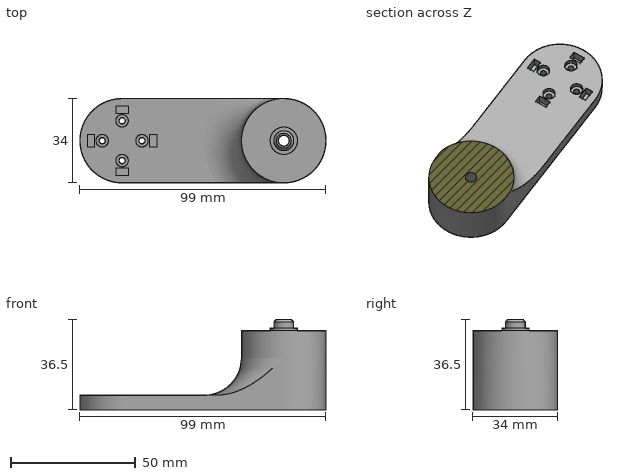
import cadquery as cq

width = 34.0
end_radius = width / 2
end_spacing = 65.0
plate_thickness = 6.0
post_height = 32.0
blend_radius = 15.0

collar_diameter = 11.0
collar_height = 1.0
pin_diameter = 8.0
pin_top = 36.5
pin_chamfer = 1.0
bore_diameter = 4.3

screw_count = 4
screw_circle_radius = 8.0
screw_diameter = 2.4
counterbore_diameter = 5.0
counterbore_depth = 2.0
pocket_length = 3.0
pocket_width = 5.0
pocket_depth = 4.0
pocket_outer_reach = 14.0


def cylinder(diameter, bottom, top):
    """Vertical cylinder on the Z axis, which is also the post axis."""
    return cq.Workplane("XY").workplane(offset=bottom).circle(diameter / 2).extrude(top - bottom)


def make_plate():
    bar = cq.Workplane("XY").box(end_spacing, width, plate_thickness, centered=(False, True, False))
    rounded_end = cylinder(width, 0, plate_thickness)
    return bar.union(rounded_end).translate((-end_spacing, 0, 0))


def make_blend():
    """Concave flare around the post, kept only over the plate side of the post axis."""
    flare_radius = end_radius + blend_radius
    blend_top = plate_thickness + blend_radius
    flare = (
        cq.Workplane("XZ")
        .moveTo(0, 0)
        .lineTo(flare_radius, 0)
        .lineTo(flare_radius, plate_thickness)
        .radiusArc((end_radius, blend_top), blend_radius)
        .lineTo(0, blend_top)
        .close()
        .revolve(360, (0, 0, 0), (0, 1, 0))
    )
    plate_side = cq.Workplane("XY").box(
        flare_radius, width, blend_top, centered=(False, True, False)
    ).translate((-flare_radius, 0, 0))
    return flare.intersect(plate_side)


def make_pin():
    collar = cylinder(collar_diameter, post_height, post_height + collar_height)
    pin = cylinder(pin_diameter, post_height, pin_top)
    pin = pin.faces(">Z").edges().chamfer(pin_chamfer)
    return collar.union(pin)


def make_screw_seat():
    """Cutter for one screw hole and its pocket, on the +X side of the pattern centre."""
    hole = cylinder(screw_diameter, 0, plate_thickness)
    counterbore = cylinder(counterbore_diameter, plate_thickness - counterbore_depth, plate_thickness)
    stepped_hole = hole.union(counterbore).translate((screw_circle_radius, 0, 0))
    pocket = cq.Workplane("XY").box(
        pocket_length, pocket_width, pocket_depth, centered=(False, True, False)
    ).translate((pocket_outer_reach - pocket_length, 0, plate_thickness - pocket_depth))
    return stepped_hole.union(pocket)


post = cylinder(width, 0, post_height)
result = make_plate().union(make_blend()).union(post).union(make_pin())
result = result.cut(cylinder(bore_diameter, 0, pin_top))

for index in range(screw_count):
    seat = make_screw_seat().rotate((0, 0, 0), (0, 0, 1), index * 360 / screw_count)
    result = result.cut(seat.translate((-end_spacing, 0, 0)))